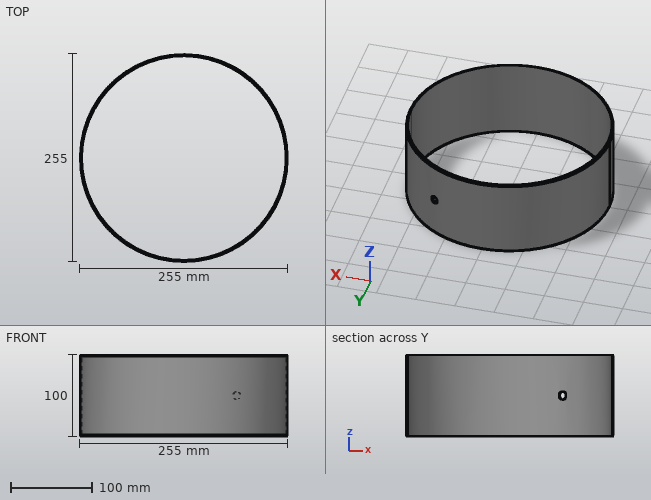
import cadquery as cq

outer_diameter = 255.0
height = 100.0
wall = 2.3
rim_bevel_height = 2.0
rim_bevel_depth = 1.0

slit_width = 2.0

hole_diameter = 10.0
hole_angle = 59.0

outer_radius = outer_diameter / 2
inner_radius = outer_radius - wall


def make_ring():
    """Revolve the wall section, bevelled outside at both rims."""
    rim_radius = outer_radius - rim_bevel_depth
    section = [
        (inner_radius, 0),
        (rim_radius, 0),
        (outer_radius, rim_bevel_height),
        (outer_radius, height - rim_bevel_height),
        (rim_radius, height),
        (inner_radius, height),
    ]
    return cq.Workplane("XZ").polyline(section).close().revolve(360, (0, 0), (0, 1))


def make_slit():
    """Box that cuts the wall open over its full height on the -X side."""
    return cq.Workplane("XY").box(
        outer_radius, slit_width, height, centered=(False, False, False)
    ).translate((-outer_radius, 0, 0))


def make_hole():
    """Radial cylinder from the Z axis out through the wall."""
    return (
        cq.Workplane("YZ")
        .center(0, height / 2)
        .circle(hole_diameter / 2)
        .extrude(outer_diameter)
        .rotate((0, 0, 0), (0, 0, 1), hole_angle)
    )


result = make_ring().cut(make_slit()).cut(make_hole())